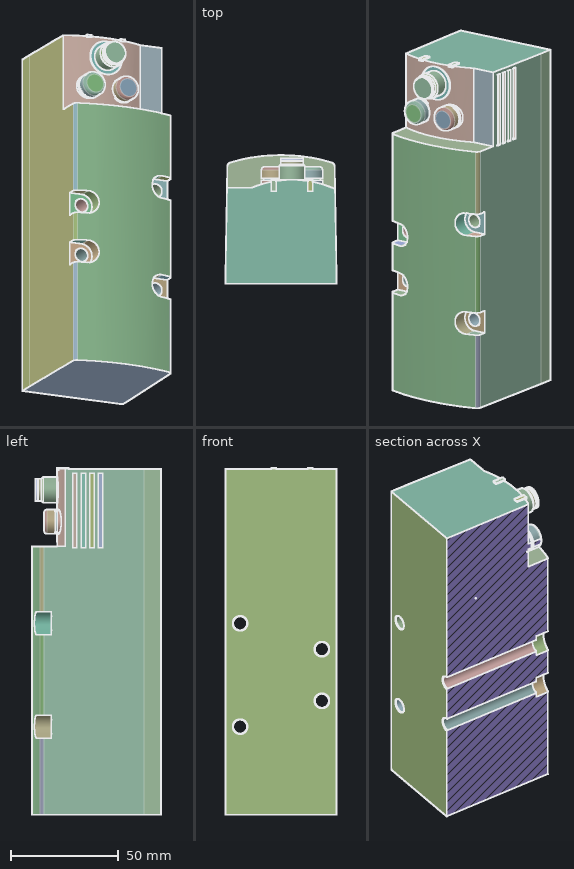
import cadquery as cq
import math


body_width = 51.6
body_depth = 60.0
body_length = 160.7
base_height = 8.0
side_draft = 1.0
crown_radius = 80.0
crown_edge_fillet = 2.0

seat_length = 36.0
seat_floor_y = 44.6
seat_center_x = 5.1
seat_crown_radius = 50.0
seat_crown_y = 48.4

hole_x = 19.0
hole_center_z = 65.0
left_hole_spacing = 48.0
right_hole_spacing = 24.0
hole_diameter = 6.4
hole_chamfer = 0.3
screw_pocket_width = 10.8
screw_pocket_floor_y = 51.0

groove_count = 4
groove_pitch = 4.0
groove_width = 2.0
groove_depth = 1.2
groove_length = 34.5
groove_end_gap = 2.0
first_groove_y = 28.1

plug_drop = 9.7
plug_end_y = 58.5
plug_diameter = 10.5
plug_groove_diameter = 10.0
plug_lip = 1.0
plug_groove_length = 0.4
plug_length = 2.9
collar_diameter = 12.0
collar_flange_diameter = 16.0
collar_flange_y = 48.5

cap_drop = 24.5
cap_offset = 8.5
cap_diameter = 11.4
cap_end_y = 54.4
cap_back_y = 49.2
cap_fillet = 1.4
neck_diameter = 9.4
cap_flange_y = 48.2

tab_width = 2.3
tab_height = 0.5
tab_low_y = 43.0
tab_high_y = seat_crown_y

root_depth = 4.0
root_y = seat_floor_y - root_depth
clearance = 1.0


def half_width_at(y):
    """Half the body width at a height on the drafted side walls."""
    return body_width / 2 - math.tan(math.radians(side_draft)) * (y - base_height)


def make_body():
    half_width = body_width / 2
    crown_center_y = body_depth - crown_radius
    draft = math.radians(side_draft)
    center_to_wall = half_width_at(crown_center_y) * math.cos(draft)
    crown_angle = math.asin(center_to_wall / crown_radius) - draft
    edge_x = crown_radius * math.sin(crown_angle)
    edge_y = crown_center_y + crown_radius * math.cos(crown_angle)
    body = (
        cq.Workplane("XY")
        .moveTo(-half_width, 0)
        .lineTo(half_width, 0)
        .lineTo(half_width, base_height)
        .lineTo(edge_x, edge_y)
        .threePointArc((0, body_depth), (-edge_x, edge_y))
        .lineTo(-half_width, base_height)
        .close()
        .extrude(body_length)
    )
    return body.edges("|Z").edges(">Y").fillet(crown_edge_fillet)


def make_seat_cut():
    crown_center_y = seat_crown_y - seat_crown_radius
    foot_x = seat_center_x - math.sqrt(seat_crown_radius**2 - (seat_floor_y - crown_center_y) ** 2)
    right_x = body_width / 2 + clearance
    right_y = crown_center_y + math.sqrt(seat_crown_radius**2 - (right_x - seat_center_x) ** 2)
    return (
        cq.Workplane("XY", origin=(0, 0, body_length - seat_length))
        .moveTo(-right_x, seat_floor_y)
        .lineTo(foot_x, seat_floor_y)
        .threePointArc((seat_center_x, seat_crown_y), (right_x, right_y))
        .lineTo(right_x, body_depth + clearance)
        .lineTo(-right_x, body_depth + clearance)
        .close()
        .extrude(seat_length + clearance)
    )


def revolve_about_y(profile, x, z):
    """Solid of revolution about a Y axis through (x, z), from (radius, y) outline points."""
    outline = cq.Workplane("XY").polyline(profile).close()
    return outline.revolve(360, (0, 0, 0), (0, 1, 0)).translate((x, 0, z))


def make_screw_hole(side, z):
    """Chamfered through hole with its screw pocket; side is -1 for left and +1 for right."""
    radius = hole_diameter / 2
    profile = [
        (0, 0),
        (radius + hole_chamfer, 0),
        (radius, hole_chamfer),
        (radius, body_depth),
        (0, body_depth),
    ]
    hole = revolve_about_y(profile, side * hole_x, z)

    pocket_depth = body_depth - screw_pocket_floor_y
    round_end = cq.Workplane("XZ").circle(screw_pocket_width / 2).extrude(-pocket_depth)
    run_out = body_width / 2 - hole_x + clearance
    opening = (
        cq.Workplane("XY")
        .box(run_out, pocket_depth, screw_pocket_width, centered=(True, False, True))
        .translate((side * run_out / 2, 0, 0))
    )
    pocket = round_end.union(opening).translate((side * hole_x, screw_pocket_floor_y, z))
    return hole.union(pocket)


def make_groove(y):
    wall_x = -half_width_at(y)
    groove_z = body_length - groove_end_gap - groove_length
    groove = cq.Workplane("XY").box(
        2 * groove_depth, groove_width, groove_length, centered=(True, True, False)
    )
    return groove.translate((wall_x, y, groove_z))


def make_plug():
    plug_radius = plug_diameter / 2
    groove_radius = plug_groove_diameter / 2
    collar_radius = collar_diameter / 2
    flange_radius = collar_flange_diameter / 2
    taper_length = collar_radius - plug_radius
    groove_high_y = plug_end_y - plug_lip
    groove_low_y = groove_high_y - plug_groove_length
    collar_y = plug_end_y - plug_length
    profile = [
        (0, root_y),
        (flange_radius, root_y),
        (flange_radius, collar_flange_y),
        (collar_radius, collar_flange_y),
        (collar_radius, collar_y - taper_length),
        (plug_radius, collar_y),
        (plug_radius, groove_low_y),
        (groove_radius, groove_low_y),
        (groove_radius, groove_high_y),
        (plug_radius, groove_high_y),
        (plug_radius, plug_end_y),
        (0, plug_end_y),
    ]
    return revolve_about_y(profile, seat_center_x, body_length - plug_drop)


def make_cap(x):
    cap_radius = cap_diameter / 2
    neck_radius = neck_diameter / 2
    profile = [
        (0, root_y),
        (cap_radius, root_y),
        (cap_radius, cap_flange_y),
        (neck_radius, cap_flange_y),
        (neck_radius, cap_back_y),
        (cap_radius, cap_back_y),
        (cap_radius, cap_end_y),
        (0, cap_end_y),
    ]
    cap = revolve_about_y(profile, x, body_length - cap_drop)
    return cap.faces(">Y").edges().fillet(cap_fillet)


def make_tab(x):
    tab_length = tab_high_y - tab_low_y
    tab = cq.Workplane("XY").box(tab_width, tab_length, 2 * tab_height)
    return tab.translate((x, tab_low_y + tab_length / 2, body_length))


result = make_body().cut(make_seat_cut())

for side, spacing in ((-1, left_hole_spacing), (1, right_hole_spacing)):
    for hole_z in (hole_center_z - spacing / 2, hole_center_z + spacing / 2):
        result = result.cut(make_screw_hole(side, hole_z))

for index in range(groove_count):
    result = result.cut(make_groove(first_groove_y + index * groove_pitch))

result = result.union(make_plug())
for cap_x in (seat_center_x - cap_offset, seat_center_x + cap_offset):
    result = result.union(make_cap(cap_x))
    result = result.union(make_tab(cap_x))